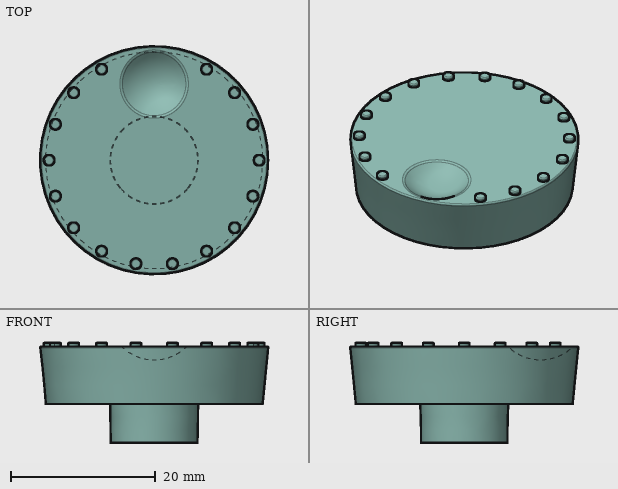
import cadquery as cq
import math

stem_height = 5.32
total_height = 13.8
stud_height = 0.5
body_top = total_height - stud_height

body_top_diameter = 31.53
body_bottom_diameter = 29.95
body_edge_fillet = 0.22

stem_top_diameter = 12.2
stem_bottom_diameter = 12.0

stud_pitch_count = 18
stud_circle_radius = 14.5
stud_diameter = 1.5
stud_fillet = 0.2
dimple_angle = 90.0
dimple_clearance_angle = 15.0

dimple_offset = 10.52
dimple_diameter = 9.05
dimple_depth = 1.9
dimple_edge_fillet = 0.5


def tapered_round(bottom_z, top_z, bottom_diameter, top_diameter):
    """Conical frustum standing on the Z axis."""
    return cq.Workplane("XZ").polyline([
        (0, bottom_z),
        (bottom_diameter / 2, bottom_z),
        (top_diameter / 2, top_z),
        (0, top_z),
    ]).close().revolve(360, (0, 0), (0, 1))


def make_dimple_cutter():
    """Sphere that meets the top face in a circle of the dimple diameter."""
    rim_radius = dimple_diameter / 2
    sphere_radius = (rim_radius**2 + dimple_depth**2) / (2 * dimple_depth)
    center_z = body_top - dimple_depth + sphere_radius
    return cq.Workplane("XY").sphere(sphere_radius).translate((0, dimple_offset, center_z))


def make_body():
    """Body with a rounded top edge and a dimple with a rounded rim."""
    body = tapered_round(stem_height, body_top, body_bottom_diameter, body_top_diameter)
    body = body.faces(">Z").edges().fillet(body_edge_fillet)
    body = body.cut(make_dimple_cutter())
    dimple_rim = cq.selectors.RadiusNthSelector(0)
    return body.faces(">Z").edges(dimple_rim).fillet(dimple_edge_fillet)


def stud_positions():
    """Evenly spaced points on the stud circle, leaving out those at the dimple."""
    pitch_angle = 360 / stud_pitch_count
    points = []
    for index in range(stud_pitch_count):
        angle = index * pitch_angle
        if abs(angle - dimple_angle) < dimple_clearance_angle:
            continue
        x = stud_circle_radius * math.cos(math.radians(angle))
        y = stud_circle_radius * math.sin(math.radians(angle))
        points.append((x, y))
    return points


def make_studs():
    """Short round studs with rounded top edges."""
    studs = cq.Workplane("XY").workplane(offset=body_top).pushPoints(stud_positions())
    studs = studs.circle(stud_diameter / 2).extrude(stud_height)
    return studs.faces(">Z").edges().fillet(stud_fillet)


stem = tapered_round(0, stem_height, stem_bottom_diameter, stem_top_diameter)
result = make_body().union(stem).union(make_studs())